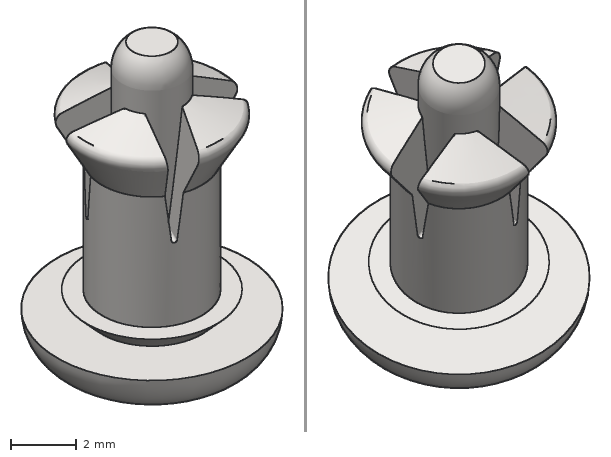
import cadquery as cq
import math


total_height = 11.7
button_top_z = 1.91
collar_top_z = 2.6
catch_bottom_z = 7.4
rim_bottom_z = 8.87
rim_middle_z = 9.03
rim_top_z = 9.32
catch_top_z = 9.87
slot_bottom_z = 5.64

button_radius = 8.0 / 2
collar_radius = 2.76
shank_radius = 2.11
rim_radius = 2.98
rim_bottom_radius = 2.94
rim_top_radius = 2.81
pin_radius = 1.25
pin_tip_radius = 0.8
button_edge_round = 1.66

slot_bottom_round = 0.09
slot_top_width = 1.2


def arc_point(centre, radius, angle):
    """Point on an arc in the (radius, height) plane, with the angle in radians."""
    return (centre[0] + radius * math.cos(angle), centre[1] + radius * math.sin(angle))


def make_button():
    """Button with a flat top, rounded edge and a shallow spherical underside touching z = 0."""
    edge_centre = (button_radius - button_edge_round, button_top_z)
    crown_radius = (edge_centre[0] ** 2 + button_top_z**2 - button_edge_round**2) / (
        2 * (button_top_z - button_edge_round)
    )
    crown_centre = (0, crown_radius)
    blend_angle = math.atan2(button_top_z - crown_radius, edge_centre[0])
    crown_middle_angle = (blend_angle - math.pi / 2) / 2
    return (
        cq.Workplane("XZ")
        .moveTo(0, 0)
        .threePointArc(
            arc_point(crown_centre, crown_radius, crown_middle_angle),
            arc_point(crown_centre, crown_radius, blend_angle),
        )
        .threePointArc(
            arc_point(edge_centre, button_edge_round, blend_angle / 2),
            (button_radius, button_top_z),
        )
        .lineTo(0, button_top_z)
        .close()
        .revolve()
    )


def make_barbed_shank():
    """Undercut collar, straight shank and the barbed catch with its rounded rim."""
    return (
        cq.Workplane("XZ")
        .moveTo(0, button_top_z)
        .lineTo(shank_radius, button_top_z)
        .lineTo(collar_radius, collar_top_z)
        .lineTo(shank_radius, collar_top_z)
        .lineTo(shank_radius, catch_bottom_z)
        .lineTo(rim_bottom_radius, rim_bottom_z)
        .threePointArc((rim_radius, rim_middle_z), (rim_top_radius, rim_top_z))
        .lineTo(pin_radius, catch_top_z)
        .lineTo(0, catch_top_z)
        .close()
        .revolve()
    )


def make_slot():
    """Tapered slot cutter running along Y, with a rounded bottom."""
    half_top = slot_top_width / 2
    round_centre_z = slot_bottom_z + slot_bottom_round
    return (
        cq.Workplane("XZ")
        .moveTo(-half_top, catch_top_z)
        .lineTo(-slot_bottom_round, round_centre_z)
        .threePointArc((0, slot_bottom_z), (slot_bottom_round, round_centre_z))
        .lineTo(half_top, catch_top_z)
        .close()
        .extrude(button_radius, both=True)
    )


def make_pin():
    """Centre pin whose tip is a ball of the pin's own radius, cut flat at the top."""
    flat_angle = math.acos(pin_tip_radius / pin_radius)
    ball_centre = (0, total_height - pin_radius * math.sin(flat_angle))
    return (
        cq.Workplane("XZ")
        .moveTo(0, button_top_z)
        .lineTo(pin_radius, button_top_z)
        .lineTo(pin_radius, ball_centre[1])
        .threePointArc(
            arc_point(ball_centre, pin_radius, flat_angle / 2),
            (pin_tip_radius, total_height),
        )
        .lineTo(0, total_height)
        .close()
        .revolve()
    )


jaws = make_barbed_shank()
for slot_direction in (0, 90):
    jaws = jaws.cut(make_slot().rotate((0, 0, 0), (0, 0, 1), slot_direction))

result = make_button().union(jaws).union(make_pin())